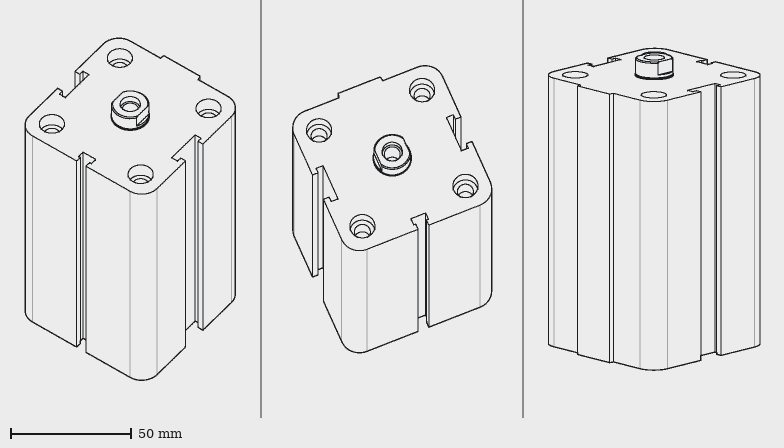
import cadquery as cq

body_width = 67.0
total_height = 123.0
rod_projection = 7.5
body_height = total_height - rod_projection
corner_radius = 8.0

pad_height = 2.0
pad_base_width = 19.7
pad_top_width = 19.0

lip_thickness = 2.6
side_slot_mouth = 11.8
side_slot_width = 16.1
side_slot_depth = 5.7
front_slot_mouth = 4.8
front_slot_width = 6.6
front_slot_depth = 5.5

screw_offset = 23.2
screw_hole_diameter = 6.6
screw_bore_diameter = 10.5
screw_bore_depth = 6.4
screw_hole_depth = 14.8

rod_diameter = 16.0
rod_end_diameter = 15.6
rod_shoulder_height = 0.7
rod_shoulder_taper = 0.4
rod_sunk_depth = 14.8
rod_tip_chamfer = 0.5
flat_width = 13.0
flat_height = 5.5
thread_diameter = 6.6
thread_entry_diameter = 8.4
thread_entry_depth = 3.1
thread_depth = 14.8

half_width = body_width / 2


def make_t_slot(mouth, width, depth):
    """Cutter for a full-height T-slot opening on the -Y face."""
    outer_y = -half_width
    lip_y = outer_y + lip_thickness
    floor_y = outer_y + depth
    throat = cq.Workplane("XY").box(mouth, depth, body_height, centered=(True, False, False))
    throat = throat.translate((0, outer_y, 0))
    chamber = cq.Workplane("XY").box(width, floor_y - lip_y, body_height, centered=(True, False, False))
    return throat.union(chamber.translate((0, lip_y, 0)))


def make_pad():
    """Full-height rail with slightly sloping flanks on the +Y face."""
    top_y = half_width + pad_height
    return (
        cq.Workplane("XY")
        .moveTo(-pad_base_width / 2, half_width)
        .lineTo(-pad_top_width / 2, top_y)
        .lineTo(pad_top_width / 2, top_y)
        .lineTo(pad_base_width / 2, half_width)
        .lineTo(pad_base_width / 2, 0)
        .lineTo(-pad_base_width / 2, 0)
        .close()
        .extrude(body_height)
    )


def make_housing():
    """Square profile with rail, T-slots, corner screw holes and a recess for the rod."""
    housing = (
        cq.Workplane("XY")
        .box(body_width, body_width, body_height, centered=(True, True, False))
        .edges("|Z")
        .fillet(corner_radius)
        .union(make_pad())
    )
    housing = housing.cut(make_t_slot(front_slot_mouth, front_slot_width, front_slot_depth))
    side_slot = make_t_slot(side_slot_mouth, side_slot_width, side_slot_depth)
    for angle in (-90, 90):
        housing = housing.cut(side_slot.rotate((0, 0, 0), (0, 0, 1), angle))
    top = cq.Workplane("XY").workplane(offset=body_height)
    rod_recess = top.circle(rod_diameter / 2).extrude(-rod_sunk_depth)
    screw_spacing = 2 * screw_offset
    return (
        housing.faces(">Z")
        .workplane(origin=(0, 0, body_height))
        .rarray(screw_spacing, screw_spacing, 2, 2)
        .cboreHole(screw_hole_diameter, screw_bore_diameter, screw_bore_depth, screw_hole_depth)
        .cut(rod_recess)
    )


def make_rod():
    """Piston rod end with two wrench flats, a shoulder and a threaded end hole."""
    shoulder_step = (rod_diameter - rod_end_diameter) / 2
    rod = (
        cq.Workplane("XY")
        .workplane(offset=body_height - rod_sunk_depth)
        .circle(rod_diameter / 2)
        .extrude(rod_sunk_depth + rod_shoulder_height)
        .faces(">Z")
        .chamfer(rod_shoulder_taper, shoulder_step)
        .faces(">Z")
        .workplane()
        .circle(rod_end_diameter / 2)
        .extrude(rod_projection - rod_shoulder_height)
        .faces(">Z")
        .chamfer(rod_tip_chamfer)
    )
    for side in (-1, 1):
        flat_cut = cq.Workplane("XY").box(rod_diameter, rod_diameter, flat_height, centered=(True, True, False))
        offset = side * (flat_width + rod_diameter) / 2
        rod = rod.cut(flat_cut.translate((offset, 0, total_height - flat_height)))
    return rod.faces(">Z").workplane(origin=(0, 0, total_height)).cboreHole(
        thread_diameter, thread_entry_diameter, thread_entry_depth, thread_depth
    )


housing = make_housing()
rod = make_rod()
result = cq.Compound.makeCompound([housing.val(), rod.val()])